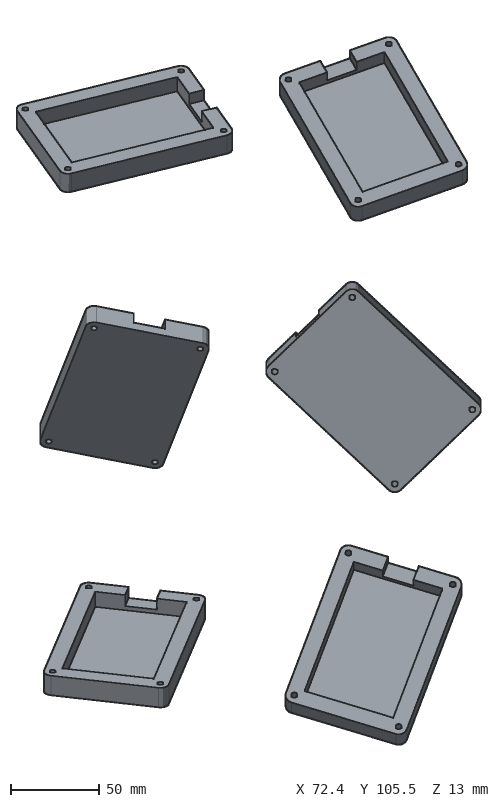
import cadquery as cq

length = 105.5
width = 72.4
height = 13.0
corner_radius = 5.0

pocket_width = 53.0
pocket_length = 86.9
pocket_depth = 10.0

notch_width = 18.4
notch_depth = 7.3

hole_diameter = 3.4
hole_spacing_x = width - 2 * corner_radius
hole_spacing_y = length - 2 * corner_radius


def make_block():
    block = cq.Workplane("XY").box(width, length, height, centered=(True, True, False))
    return block.edges("|Z").fillet(corner_radius)


def make_pocket():
    pocket = cq.Workplane("XY").workplane(offset=height - pocket_depth)
    return pocket.rect(pocket_width, pocket_length).extrude(pocket_depth)


def make_notch():
    notch = cq.Workplane("XY").workplane(offset=height - notch_depth)
    return notch.center(0, length / 4).rect(notch_width, length / 2).extrude(notch_depth)


def make_screw_holes():
    holes = cq.Workplane("XY").rect(hole_spacing_x, hole_spacing_y, forConstruction=True)
    return holes.vertices().circle(hole_diameter / 2).extrude(height)


result = make_block().cut(make_pocket()).cut(make_notch()).cut(make_screw_holes())